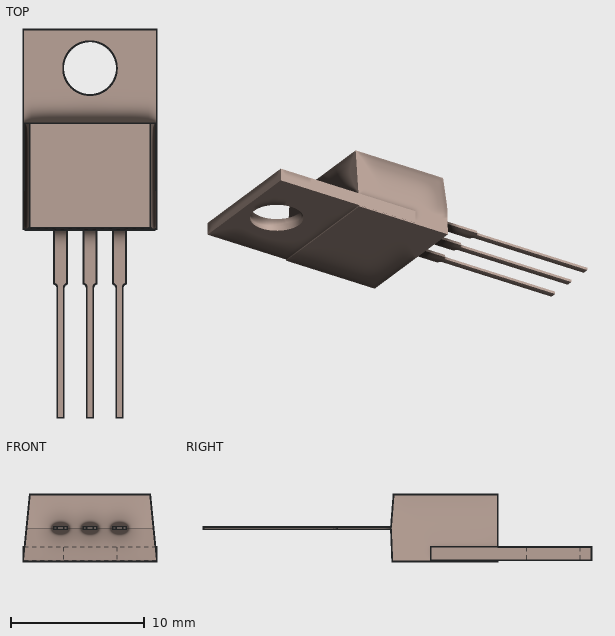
import cadquery as cq
import math

TAB_WIDTH = 10.0
TAB_LENGTH = 12.0
TAB_THICKNESS = 1.0
TAB_BOTTOM_Z = 0.1
HOLE_DIAMETER = 4.0
HOLE_EDGE_DISTANCE = 2.9

BODY_BOTTOM_WIDTH = TAB_WIDTH
BODY_TOP_WIDTH = 9.0
BODY_LENGTH = 8.0
BODY_BOTTOM_Z = 0.0
BODY_TOP_Z = 5.01
BODY_BACK_Y = -7.0
BODY_FRONT_Y = BODY_BACK_Y - BODY_LENGTH
PARTING_Z = 2.5
TOP_END_DRAFT = 0.2
BOTTOM_END_DRAFT = 0.1

LEAD_COUNT = 3
LEAD_PITCH = 2.2
LEAD_MID_Z = 2.5
LEAD_THICKNESS = 0.2
SHOULDER_RADIUS = 0.3
LEAD_LENGTH = 14.0
LEAD_WIDE_WIDTH = 1.0
LEAD_NARROW_WIDTH = 0.5
LEAD_WIDE_LENGTH = 4.0
LEAD_EMBED = 1.0


def make_tab():
    """Flat plate with a through mounting hole."""
    tab = cq.Workplane("XY").box(TAB_WIDTH, TAB_LENGTH, TAB_THICKNESS, centered=(True, True, False))
    tab = tab.translate((0, -TAB_LENGTH / 2, TAB_BOTTOM_Z))
    hole = (
        cq.Workplane("XY", origin=(0, 0, TAB_BOTTOM_Z))
        .center(0, -HOLE_EDGE_DISTANCE)
        .circle(HOLE_DIAMETER / 2)
        .extrude(TAB_THICKNESS)
    )
    return tab.cut(hole)


def make_body():
    """Intersection of the side profile along X and the tapered end profile along Y."""
    side_profile = (
        cq.Workplane("YZ")
        .moveTo(BODY_BACK_Y, BODY_BOTTOM_Z)
        .lineTo(BODY_FRONT_Y + BOTTOM_END_DRAFT, BODY_BOTTOM_Z)
        .lineTo(BODY_FRONT_Y, PARTING_Z)
        .lineTo(BODY_FRONT_Y + TOP_END_DRAFT, BODY_TOP_Z)
        .lineTo(BODY_BACK_Y, BODY_TOP_Z)
        .close()
        .extrude(BODY_BOTTOM_WIDTH / 2, both=True)
    )
    end_profile = (
        cq.Workplane("XZ", origin=(0, BODY_BACK_Y, 0))
        .moveTo(-BODY_BOTTOM_WIDTH / 2, BODY_BOTTOM_Z)
        .lineTo(BODY_BOTTOM_WIDTH / 2, BODY_BOTTOM_Z)
        .lineTo(BODY_TOP_WIDTH / 2, BODY_TOP_Z)
        .lineTo(-BODY_TOP_WIDTH / 2, BODY_TOP_Z)
        .close()
        .extrude(BODY_LENGTH)
    )
    return side_profile.intersect(end_profile)


def make_lead(center_x):
    """Flat lead that necks down through concave round shoulders."""
    wide = LEAD_WIDE_WIDTH / 2
    narrow = LEAD_NARROW_WIDTH / 2
    root_y = BODY_FRONT_Y + LEAD_EMBED
    shoulder_y = BODY_FRONT_Y - LEAD_WIDE_LENGTH
    arc_angle = math.acos(1 - (wide - narrow) / SHOULDER_RADIUS)
    neck_y = shoulder_y - SHOULDER_RADIUS * math.sin(arc_angle)
    arc_mid_x = narrow + SHOULDER_RADIUS * (1 - math.cos(arc_angle / 2))
    arc_mid_y = neck_y + SHOULDER_RADIUS * math.sin(arc_angle / 2)
    tip_y = BODY_FRONT_Y - LEAD_LENGTH
    return (
        cq.Workplane("XY", origin=(center_x, 0, LEAD_MID_Z))
        .moveTo(-wide, root_y)
        .lineTo(-wide, shoulder_y)
        .threePointArc((-arc_mid_x, arc_mid_y), (-narrow, neck_y))
        .lineTo(-narrow, tip_y)
        .lineTo(narrow, tip_y)
        .lineTo(narrow, neck_y)
        .threePointArc((arc_mid_x, arc_mid_y), (wide, shoulder_y))
        .lineTo(wide, root_y)
        .close()
        .extrude(LEAD_THICKNESS / 2, both=True)
    )


result = make_tab().union(make_body())
for index in range(LEAD_COUNT):
    lead_x = (index - (LEAD_COUNT - 1) / 2) * LEAD_PITCH
    result = result.union(make_lead(lead_x))